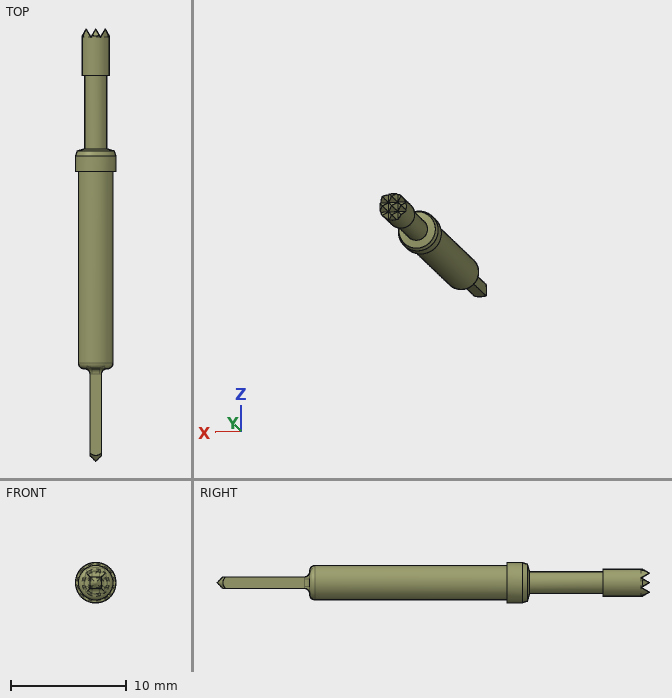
import cadquery as cq
import math


head_diameter = 2.35
plunger_diameter = 1.9
collar_diameter = 3.5
barrel_diameter = 3.0
pin_width = 1.0

total_length = 37.3
head_length = 4.03
plunger_length = 6.3
lip_length = 0.2
collar_length = 1.8
barrel_length = 17.0
pin_length = total_length - head_length - plunger_length - lip_length - collar_length - barrel_length

collar_taper_length = 0.45
collar_taper_depth = 0.15
barrel_round = 0.5
pin_base_fillet = 0.45

blade_width = 2.25
edge_margin = 0.05

tooth_pitch = 0.82
groove_count = 4
groove_angle = 60.0

collar_front = collar_length
lip_front = collar_front + lip_length
head_back = lip_front + plunger_length
head_tip = head_back + head_length
barrel_end = -barrel_length
pin_tip = barrel_end - pin_length


def cylinder_along_y(diameter, y_start, y_end):
    """Solid cylinder on the axis between two Y stations."""
    length = y_end - y_start
    return cq.Workplane("XZ", origin=(0, y_start, 0)).circle(diameter / 2).extrude(-length)


def make_collar():
    """Collar with a tapered front rim and a shallow cone leading down to the plunger."""
    radius = collar_diameter / 2
    rim_radius = radius - collar_taper_depth
    return (
        cq.Workplane("XY")
        .lineTo(radius, 0)
        .lineTo(radius, collar_front - collar_taper_length)
        .lineTo(rim_radius, collar_front)
        .lineTo(plunger_diameter / 2, lip_front)
        .lineTo(0, lip_front)
        .close()
        .revolve(360, (0, 0, 0), (0, 1, 0))
    )


def make_barrel_with_blade():
    """Barrel with a blade as thick as the pin standing on its rounded tail end.

    The two broad faces of the blade are blended into the barrel.
    """
    barrel = cylinder_along_y(barrel_diameter, barrel_end, 0)
    barrel = barrel.faces("<Y").edges().fillet(barrel_round)
    blade_root = barrel_end + barrel_round
    blade = (
        cq.Workplane("XZ", origin=(0, blade_root, 0))
        .rect(pin_width, blade_width)
        .extrude(blade_root - pin_tip)
    )
    reach = pin_width / 2 + edge_margin
    root_edges = cq.selectors.BoxSelector(
        (-reach, barrel_end - edge_margin, -blade_width),
        (reach, blade_root, blade_width),
        boundingbox=True,
    )
    body = barrel.union(blade).edges(root_edges)
    return body.edges("not |X").edges("not |Y").fillet(pin_base_fillet)


def make_tip_envelope():
    """Solid of revolution that turns the end of the pin to a 45 degree cone."""
    radius = barrel_diameter
    return (
        cq.Workplane("XY")
        .moveTo(0, pin_tip)
        .lineTo(radius, pin_tip + radius)
        .lineTo(radius, 0)
        .lineTo(0, 0)
        .close()
        .revolve(360, (0, 0, 0), (0, 1, 0))
    )


def make_barrel_and_pin():
    """Two crossed blades share the barrel, the square pin and its mitred base fillets."""
    blade_body = make_barrel_with_blade()
    crossed_body = blade_body.rotate((0, 0, 0), (0, 1, 0), 90)
    return blade_body.intersect(crossed_body).intersect(make_tip_envelope())


def make_head():
    """Head cut by two crossed sets of V grooves into a grid of pyramid teeth."""
    head = cylinder_along_y(head_diameter, head_back, head_tip)
    groove_depth = tooth_pitch / 2 / math.tan(math.radians(groove_angle / 2))
    for step in range(groove_count):
        center = (step - (groove_count - 1) / 2) * tooth_pitch
        groove = (
            cq.Workplane("XY")
            .moveTo(center, head_tip - groove_depth)
            .lineTo(center + tooth_pitch / 2, head_tip)
            .lineTo(center - tooth_pitch / 2, head_tip)
            .close()
            .extrude(head_diameter, both=True)
        )
        head = head.cut(groove)
        head = head.cut(groove.rotate((0, 0, 0), (0, 1, 0), 90))
    return head


plunger = cylinder_along_y(plunger_diameter, collar_front, head_back)
result = make_barrel_and_pin()
for piece in (make_collar(), plunger, make_head()):
    result = result.union(piece)